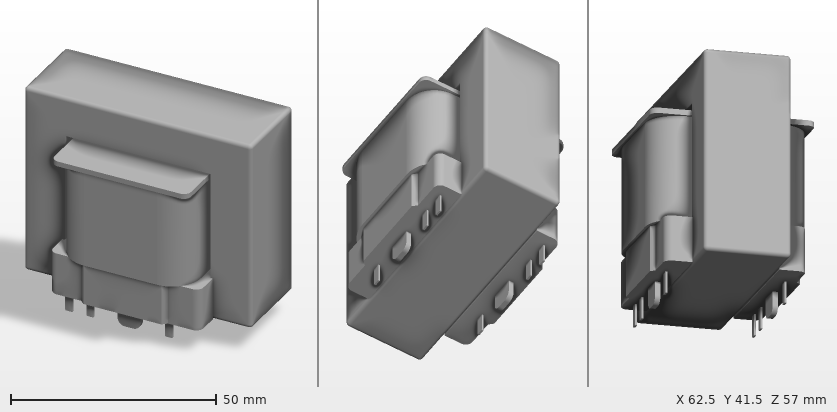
import cadquery as cq

CORE_WIDTH = 62.5
CORE_DEPTH = 22.0
CORE_HEIGHT = 51.5
CORE_EDGE_RADIUS = 1.0
WINDOW_WIDTH = 40.0
YOKE_HEIGHT = 10.75
WINDOW_HEIGHT = CORE_HEIGHT - 2 * YOKE_HEIGHT

BASE_WIDTH = 41.3
BASE_DEPTH = 35.75
BASE_HEIGHT = 11.5
BASE_CORNER_RADIUS = 2.0
BOSS_PROJECTION = 1.1
BOSS_ROOT_WIDTH = 23.75

WINDING_WIDTH = 36.0
WINDING_DEPTH = 40.0
WINDING_CORNER_RADIUS = 8.0
FLANGE_WIDTH = 37.5
FLANGE_DEPTH = 41.5
FLANGE_THICKNESS = 1.4
FLANGE_CORNER_RADIUS = 2.0
FLANGE_TOP = 39.4
WINDING_TOP = FLANGE_TOP - FLANGE_THICKNESS

PIN_LENGTH = 5.5
PIN_WIDTH = 2.0
PIN_THICKNESS = 0.5
PIN_TIP_RADIUS = 0.25
PIN_ROW_Y = 15.05
PIN_POSITIONS_X = (-16.6, -10.8, 10.8)
TAB_WIDTH = 6.25
TAB_THICKNESS = 1.4
TAB_TIP_RADIUS = 2.0
TAB_ROW_Y = 14.9


def upright_block(width, depth, height, bottom=0.0):
    """Box centred on X and Y that rises from the level `bottom`."""
    return cq.Workplane("XY").workplane(offset=bottom).rect(width, depth).extrude(height)


def rounded_block(width, depth, height, radius, bottom=0.0):
    """Upright block with rounded vertical edges."""
    return upright_block(width, depth, height, bottom).edges("|Z").fillet(radius)


def core_window():
    return upright_block(WINDOW_WIDTH, CORE_DEPTH, WINDOW_HEIGHT, YOKE_HEIGHT)


def make_core():
    block = upright_block(CORE_WIDTH, CORE_DEPTH, CORE_HEIGHT)
    return block.edges().fillet(CORE_EDGE_RADIUS).cut(core_window())


def base_boss():
    """Raised middle of both long base sides, as one bar running through the base."""
    root_x = BOSS_ROOT_WIDTH / 2
    face_x = root_x - BOSS_PROJECTION
    root_y = BASE_DEPTH / 2
    face_y = root_y + BOSS_PROJECTION
    outline = [
        (root_x, root_y),
        (face_x, face_y),
        (-face_x, face_y),
        (-root_x, root_y),
        (-root_x, -root_y),
        (-face_x, -face_y),
        (face_x, -face_y),
        (root_x, -root_y),
    ]
    return cq.Workplane("XY").polyline(outline).close().extrude(BASE_HEIGHT)


def make_base():
    """Base cut to fit over the lower yoke and between the core legs."""
    base = rounded_block(BASE_WIDTH, BASE_DEPTH, BASE_HEIGHT, BASE_CORNER_RADIUS)
    square_core = upright_block(CORE_WIDTH, CORE_DEPTH, CORE_HEIGHT).cut(core_window())
    return base.union(base_boss()).cut(square_core)


def make_winding():
    height = WINDING_TOP - BASE_HEIGHT
    return rounded_block(WINDING_WIDTH, WINDING_DEPTH, height, WINDING_CORNER_RADIUS, BASE_HEIGHT)


def make_flange():
    return rounded_block(
        FLANGE_WIDTH, FLANGE_DEPTH, FLANGE_THICKNESS, FLANGE_CORNER_RADIUS, WINDING_TOP
    )


def make_blade(width, thickness, tip_radius, x, y):
    """Flat blade hanging below the base, with its two lower corners rounded."""
    blade = upright_block(width, thickness, PIN_LENGTH, -PIN_LENGTH)
    return blade.faces("<Z").edges("|Y").fillet(tip_radius).translate((x, y, 0))


def make_bobbin():
    bobbin = make_base().union(make_winding()).union(make_flange())
    for side in (-1, 1):
        for pin_x in PIN_POSITIONS_X:
            pin = make_blade(PIN_WIDTH, PIN_THICKNESS, PIN_TIP_RADIUS, pin_x, side * PIN_ROW_Y)
            bobbin = bobbin.union(pin)
        tab = make_blade(TAB_WIDTH, TAB_THICKNESS, TAB_TIP_RADIUS, 0, side * TAB_ROW_Y)
        bobbin = bobbin.union(tab)
    return bobbin


core = make_core()
bobbin = make_bobbin()

result = cq.Compound.makeCompound([core.solids().val(), bobbin.solids().val()])